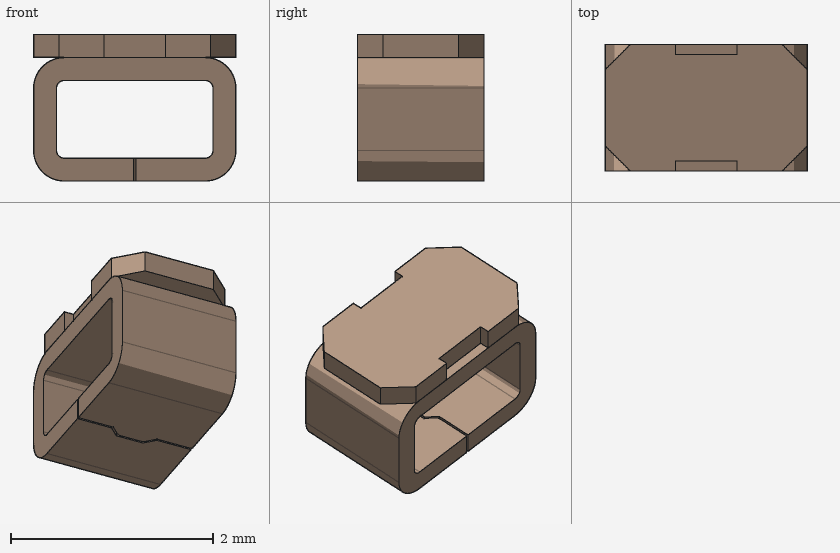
import cadquery as cq

length = 2.0
width = 1.25
height = 1.45

thickness = 0.228
band_height = height - thickness
inner_radius = 0.075
outer_radius = inner_radius + thickness

joint_gap = 0.02
tongue_start = 0.38
tongue_reach = 0.105

corner_chamfer = 0.25
notch_length = 0.605
notch_depth = 0.1


def rounded_bar(bar_length, bar_height, radius):
    """Bar along Y with its four long edges rounded, at the band's centre."""
    return (
        cq.Workplane("XY")
        .box(bar_length, width, bar_height)
        .edges("|Y")
        .fillet(radius)
        .translate((0, 0, band_height / 2))
    )


def make_joint_cut():
    """Narrow slot of constant width that follows the tongue through the floor."""
    front = -width / 2
    tongue_base = front + tongue_start
    tongue_tip = tongue_base + tongue_reach
    path = (
        cq.Workplane("XY")
        .moveTo(0, front)
        .lineTo(0, tongue_base)
        .lineTo(tongue_reach, tongue_tip)
        .lineTo(tongue_reach, -tongue_tip)
        .lineTo(0, -tongue_base)
        .lineTo(0, -front)
    )
    section = cq.Workplane("XZ", origin=(0, front, 0)).rect(joint_gap, 2 * thickness)
    return section.sweep(path, transition="right")


def make_band():
    """Rectangular band with rounded corners, split along its floor."""
    outside = rounded_bar(length, band_height, outer_radius)
    opening = rounded_bar(length - 2 * thickness, band_height - 2 * thickness, inner_radius)
    return outside.cut(opening).cut(make_joint_cut())


def make_plate():
    """Flat plate with chamfered corners and a notch in each long side."""
    plate = (
        cq.Workplane("XY", origin=(0, 0, band_height))
        .box(length, width, thickness, centered=(True, True, False))
        .edges("|Z")
        .chamfer(corner_chamfer)
    )
    notches = (
        cq.Workplane("XY", origin=(0, 0, band_height))
        .pushPoints([(0, -width / 2), (0, width / 2)])
        .rect(notch_length, 2 * notch_depth)
        .extrude(thickness)
    )
    return plate.cut(notches)


band = make_band()
plate = make_plate()

result = cq.Compound.makeCompound([band.val(), plate.val()])